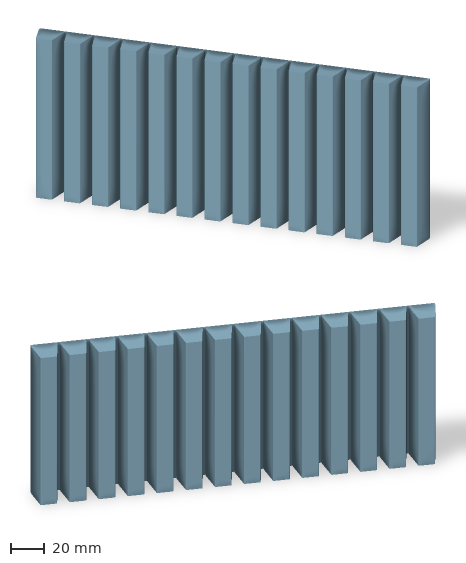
import cadquery as cq

length = 243.0
depth = 15.8
height = 101.5

rib_count = 14
groove_width = 1.8
rib_tip_width = 10.0
rib_tip_radius = 0.7
shoulder_depth = 2.2

web_thickness = 1.0

front_y = -depth / 2
back_y = depth / 2
shoulder_y = back_y - shoulder_depth
web_y = back_y - web_thickness
rib_pitch = (length + groove_width) / rib_count
rib_back_width = rib_pitch - groove_width
first_rib_x = (rib_back_width - length) / 2


def panel_outline():
    """Closed cross-section in the XY plane: flat back, row of ribs at the front."""
    points = []
    for index in range(rib_count):
        center_x = first_rib_x + index * rib_pitch
        left_x = center_x - rib_back_width / 2
        right_x = center_x + rib_back_width / 2
        left_top_y = back_y if index == 0 else web_y
        right_top_y = back_y if index == rib_count - 1 else web_y
        points += [
            (left_x, left_top_y),
            (left_x, shoulder_y),
            (center_x - rib_tip_width / 2, front_y),
            (center_x + rib_tip_width / 2, front_y),
            (right_x, shoulder_y),
            (right_x, right_top_y),
        ]
    return points


panel = (
    cq.Workplane("XY")
    .workplane(offset=-height / 2)
    .polyline(panel_outline())
    .close()
    .extrude(height)
)

result = panel.faces("<Y").edges("|Z").fillet(rib_tip_radius)